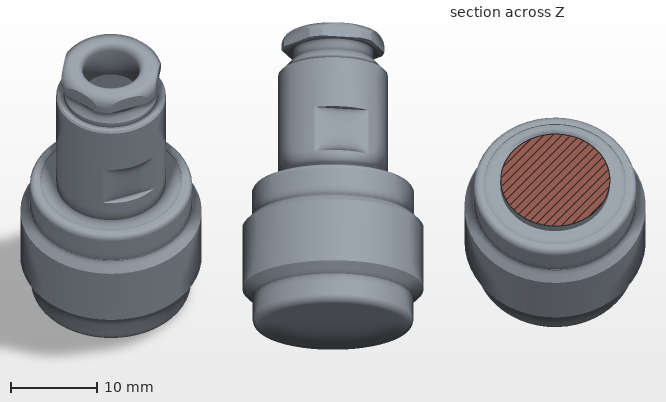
import cadquery as cq
import math

sleeve_radius = 10.5
skirt_radius = 9.3
skirt_fillet = 0.8
skirt_top = 3.35
sleeve_bottom = skirt_top + sleeve_radius - skirt_radius
sleeve_top = 12.0

lip_radius = 9.45
lip_height = 0.1
lip_bottom = sleeve_top + sleeve_radius - lip_radius
lip_top = lip_bottom + lip_height

collar_radius = 9.4
collar_fillet = 0.6
collar_top = 16.8
recess_radius = 8.25
recess_depth = 0.15

body_radius = 6.35
body_chamfer = 0.2
body_top = 30.8
flats_width = 11.0
flats_bottom = 19.4
flats_top = 24.75

shoulder_radius = 5.5
shoulder_top = 31.45
neck_radius = 4.7
neck_bottom = 32.35

nut_bottom = 33.55
nut_top = 35.45
nut_radius = 5.95
nut_width = 11.0
nut_fillet = 1.2
nut_sides = 6

bore_radius = 3.3
bore_fillet = 0.8
bore_floor = body_top


def fillet_point(center_radius, center_z, radius, angle):
    """Point on a fillet circle in the (radius, z) plane."""
    turn = math.radians(angle)
    return (center_radius + radius * math.cos(turn), center_z + radius * math.sin(turn))


def make_turned_body():
    """Revolve everything but the bore, the nut and the wrench flats."""
    skirt_mid = fillet_point(skirt_radius - skirt_fillet, skirt_fillet, skirt_fillet, -45)
    collar_mid = fillet_point(
        collar_radius - collar_fillet, collar_top - collar_fillet, collar_fillet, 45
    )
    recess_floor = collar_top - recess_depth
    profile = (
        cq.Workplane("XZ")
        .lineTo(skirt_radius - skirt_fillet, 0)
        .threePointArc(skirt_mid, (skirt_radius, skirt_fillet))
        .lineTo(skirt_radius, skirt_top)
        .lineTo(sleeve_radius, sleeve_bottom)
        .lineTo(sleeve_radius, sleeve_top)
        .lineTo(lip_radius, lip_bottom)
        .lineTo(lip_radius, lip_top)
        .lineTo(collar_radius, lip_top)
        .lineTo(collar_radius, collar_top - collar_fillet)
        .threePointArc(collar_mid, (collar_radius - collar_fillet, collar_top))
        .lineTo(recess_radius, collar_top)
        .lineTo(recess_radius, recess_floor)
        .lineTo(body_radius, recess_floor)
        .lineTo(body_radius, body_top - body_chamfer)
        .lineTo(body_radius - body_chamfer, body_top)
        .lineTo(shoulder_radius, body_top)
        .lineTo(shoulder_radius, shoulder_top)
        .lineTo(neck_radius, neck_bottom)
        .lineTo(neck_radius, nut_bottom)
        .lineTo(0, nut_bottom)
        .close()
    )
    return profile.revolve(360, (0, 0, 0), (0, 1, 0))


def make_nut():
    """Round-topped disc cut to a hexagon whose flats face +X and -X."""
    nut_height = nut_top - nut_bottom
    disc = (
        cq.Workplane("XY", origin=(0, 0, nut_bottom))
        .circle(nut_radius)
        .extrude(nut_height)
        .faces(">Z")
        .edges()
        .fillet(nut_fillet)
    )
    half_side_angle = 180 / nut_sides
    corner_diameter = nut_width / math.cos(math.radians(half_side_angle))
    hexagon = (
        cq.Workplane("XY", origin=(0, 0, nut_bottom))
        .transformed(rotate=(0, 0, half_side_angle))
        .polygon(nut_sides, corner_diameter)
        .extrude(nut_height)
    )
    return disc.intersect(hexagon)


def make_wrench_cutters():
    """Blocks outside the wrench flats on the +X and -X sides."""
    block_depth = body_radius
    block_center = flats_width / 2 + block_depth / 2
    return (
        cq.Workplane("XY", origin=(0, 0, flats_bottom))
        .pushPoints([(-block_center, 0), (block_center, 0)])
        .rect(block_depth, 2 * body_radius)
        .extrude(flats_top - flats_bottom)
    )


def make_bore():
    """Bore volume, flared at the mouth by a convex fillet."""
    mouth_radius = bore_radius + bore_fillet
    mouth_mid = fillet_point(mouth_radius, nut_top - bore_fillet, bore_fillet, 135)
    profile = (
        cq.Workplane("XZ")
        .moveTo(0, bore_floor)
        .lineTo(bore_radius, bore_floor)
        .lineTo(bore_radius, nut_top - bore_fillet)
        .threePointArc(mouth_mid, (mouth_radius, nut_top))
        .lineTo(0, nut_top)
        .close()
    )
    return profile.revolve(360, (0, 0, 0), (0, 1, 0))


result = (
    make_turned_body()
    .cut(make_wrench_cutters())
    .union(make_nut())
    .cut(make_bore())
)